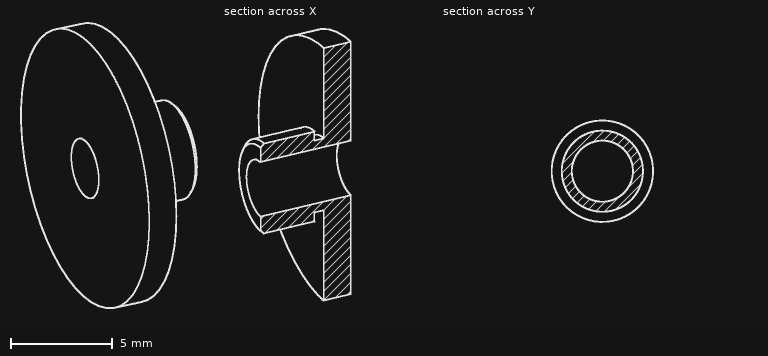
import cadquery as cq

flange_diameter = 14.0
flange_thickness = 1.5
neck_diameter = 4.0
neck_length = 0.5
hub_diameter = 5.0
total_length = 5.0
hub_chamfer = 0.2
bore_diameter = 3.0

hub_start = flange_thickness + neck_length
hub_length = total_length - hub_start


def disc(diameter, start, length):
    """Solid cylinder along +Y, beginning at Y = start."""
    plane = cq.Workplane("XZ", origin=(0, start, 0))
    return plane.circle(diameter / 2).extrude(-length)


flange = disc(flange_diameter, 0, flange_thickness)
neck = disc(neck_diameter, flange_thickness, neck_length)
hub = disc(hub_diameter, hub_start, hub_length).faces(">Y").chamfer(hub_chamfer)

bore = disc(bore_diameter, 0, total_length)

result = flange.union(neck).union(hub).cut(bore)